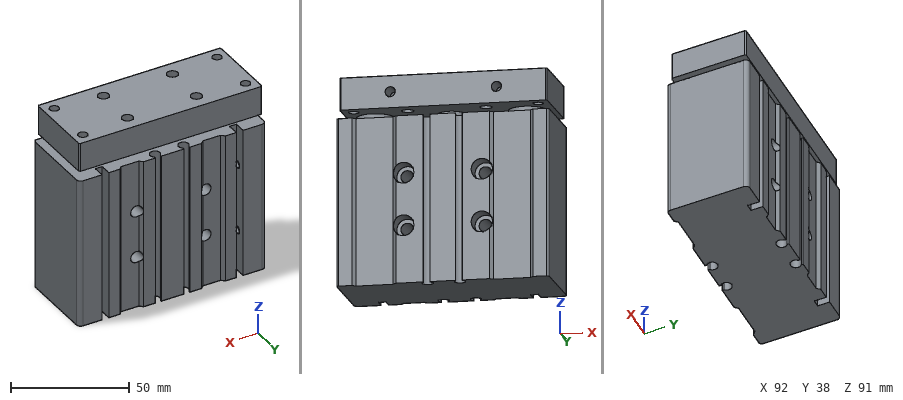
import cadquery as cq
import math


length = 92.0
width = 38.0
housing_height = 73.0
rod_gap = 4.05
plate_height = 14.0
half_length = length / 2
half_width = width / 2

corner_radius = 2.0
front_corner_inset = 0.9

recess_depth = 1.5
front_recess_x = 29.7
front_recess_width = 18.95
back_recess_x = 20.1
back_recess_width = 11.7

groove_x = 7.0
groove_mouth = 2.9
channel_diameter = 4.8
channel_depth = 2.8

guide_x = 32.9
slot_width = 3.3
slot_depth = 5.6

mount_x = 16.9
mount_z = (25.1, 48.0)
mount_diameter = 5.5
counterbore_diameter = 9.0
counterbore_depth = 8.0

drill_point_angle = 118.0
side_hole_y = 14.0
side_hole_z = (20.15, 53.0)
side_hole_diameter = 3.6
side_hole_depth = 11.2

plate_length = 89.8
plate_width = 35.0
plate_corner_chamfer = 0.55
guide_rod_diameter = 16.5
piston_rod_diameter = 12.0
plate_bottom = housing_height + rod_gap

corner_hole_x = 39.9
corner_hole_y = 12.0
corner_hole_diameter = 4.3
inner_hole_y = 10.0
inner_hole_diameter = 5.15
front_hole_x = 23.0
front_hole_diameter = 4.3
front_hole_depth = 10.0


def drilled_hole(diameter, depth, start, direction):
    """Cutter for a blind hole with a conical end; depth is that of its cylindrical part."""
    radius = diameter / 2
    point_length = radius / math.tan(math.radians(drill_point_angle / 2))
    axis = cq.Vector(*direction)
    entry = cq.Vector(*start)
    bore = cq.Solid.makeCylinder(radius, depth, entry, axis)
    point = cq.Solid.makeCone(radius, 0, point_length, entry + axis * depth, axis)
    return bore.fuse(point)


def housing_blank():
    """Upright block with rounded back corners and partly rounded front corners."""
    arc_rise = math.sqrt(corner_radius**2 - (corner_radius - front_corner_inset) ** 2)
    arc_start_y = -half_width + arc_rise
    middle_angle = math.asin(arc_rise / corner_radius) / 2
    arc_middle_x = half_length - corner_radius + corner_radius * math.cos(middle_angle)
    arc_middle_y = arc_start_y - corner_radius * math.sin(middle_angle)
    arc_end_x = half_length - front_corner_inset
    return (
        cq.Workplane("XY")
        .moveTo(-half_length, half_width)
        .lineTo(-half_length, arc_start_y)
        .threePointArc((-arc_middle_x, arc_middle_y), (-arc_end_x, -half_width))
        .lineTo(arc_end_x, -half_width)
        .threePointArc((arc_middle_x, arc_middle_y), (half_length, arc_start_y))
        .lineTo(half_length, half_width)
        .close()
        .extrude(housing_height)
        .edges("|Z and >Y")
        .fillet(corner_radius)
    )


def recess(center_x, mouth_width, face):
    """Cutter for a full-height recess with 45 degree flanks; face is -1 at the front, +1 at the back."""
    half_mouth = mouth_width / 2
    half_floor = half_mouth - recess_depth
    mouth_y = face * half_width
    floor_y = face * (half_width - recess_depth)
    return (
        cq.Workplane("XY")
        .polyline([
            (center_x - half_mouth, mouth_y),
            (center_x - half_floor, floor_y),
            (center_x + half_floor, floor_y),
            (center_x + half_mouth, mouth_y),
        ])
        .close()
        .extrude(housing_height)
    )


def slot(center_x, slot_size, depth, face):
    """Cutter for a full-height straight slot of the given width and depth."""
    return (
        cq.Workplane("XY")
        .center(center_x, face * (half_width - depth / 2))
        .rect(slot_size, depth)
        .extrude(housing_height)
    )


def sensor_groove(center_x, face):
    """Cutter for a full-height groove with a narrow mouth and a round channel behind it."""
    channel = (
        cq.Workplane("XY")
        .center(center_x, face * (half_width - channel_depth))
        .circle(channel_diameter / 2)
        .extrude(housing_height)
    )
    return slot(center_x, groove_mouth, channel_depth, face).union(channel)


def mounting_hole(x, z):
    """Cutter for a hole through the housing with a counterbore at the front."""
    front = cq.Vector(x, -half_width, z)
    inward = cq.Vector(0, 1, 0)
    bore = cq.Solid.makeCylinder(mount_diameter / 2, width, front, inward)
    counterbore = cq.Solid.makeCylinder(counterbore_diameter / 2, counterbore_depth, front, inward)
    return bore.fuse(counterbore)


def make_housing():
    body = housing_blank()
    for side in (-1, 1):
        body = body.cut(recess(side * front_recess_x, front_recess_width, -1))
        body = body.cut(recess(side * back_recess_x, back_recess_width, 1))
        body = body.cut(slot(side * guide_x, slot_width, slot_depth, 1))
        for face in (-1, 1):
            body = body.cut(sensor_groove(side * groove_x, face))
        for z in mount_z:
            body = body.cut(mounting_hole(side * mount_x, z))
        for z in side_hole_z:
            entry = (-half_length, side * side_hole_y, z)
            body = body.cut(drilled_hole(side_hole_diameter, side_hole_depth, entry, (1, 0, 0)))
    return body


def through_holes(plate, x, y, diameter):
    """Cuts four holes through the plate, placed symmetrically at (+-x, +-y)."""
    return (
        plate.faces(">Z")
        .workplane(origin=(0, 0, 0))
        .rect(2 * x, 2 * y, forConstruction=True)
        .vertices()
        .hole(diameter)
    )


def make_tool_plate():
    plate = (
        cq.Workplane("XY", origin=(0, 0, plate_bottom))
        .rect(plate_length, plate_width)
        .extrude(plate_height)
        .edges("|Z")
        .chamfer(plate_corner_chamfer)
    )
    plate = through_holes(plate, corner_hole_x, corner_hole_y, corner_hole_diameter)
    plate = through_holes(plate, mount_x, inner_hole_y, inner_hole_diameter)
    for x in (-front_hole_x, front_hole_x):
        entry = (x, -plate_width / 2, plate_bottom + plate_height / 2)
        plate = plate.cut(drilled_hole(front_hole_diameter, front_hole_depth, entry, (0, 1, 0)))
    rods = ((-guide_x, guide_rod_diameter), (0, piston_rod_diameter), (guide_x, guide_rod_diameter))
    for x, diameter in rods:
        rod = cq.Workplane("XY", origin=(x, 0, housing_height)).circle(diameter / 2).extrude(rod_gap)
        plate = plate.union(rod)
    return plate


housing = make_housing()
tool_plate = make_tool_plate()
result = cq.Compound.makeCompound([housing.val(), tool_plate.val()])